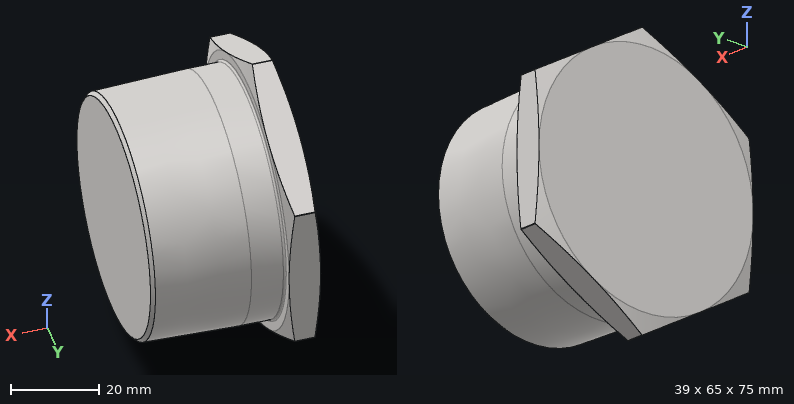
import cadquery as cq
import math

across_flats = 65.0
corner_diameter = 74.95
head_length = 7.5
head_chamfer_angle = 15.0

collar_diameter = 59.6
collar_end = 15.6
root_fillet = 0.5
overall_length = 39.05
end_chamfer = 0.9
taper_ratio = 1 / 16


def make_head():
    """Hexagon with its corners turned down and both faces chamfered by cones."""
    hexagon = (
        cq.Workplane("YZ")
        .polygon(6, across_flats, circumscribed=True)
        .extrude(head_length)
    )
    face_radius = across_flats / 2
    corner_radius = corner_diameter / 2
    chamfer_depth = (corner_radius - face_radius) * math.tan(math.radians(head_chamfer_angle))
    envelope = (
        cq.Workplane("XY")
        .polyline([
            (0, 0),
            (0, face_radius),
            (chamfer_depth, corner_radius),
            (head_length - chamfer_depth, corner_radius),
            (head_length, face_radius),
            (head_length, 0),
        ])
        .close()
        .revolve(360, (0, 0, 0), (1, 0, 0))
    )
    return hexagon.intersect(envelope)


def make_plug():
    """Collar with a root fillet against the head, then a tapered length with a chamfered end."""
    collar_radius = collar_diameter / 2
    taper_end = overall_length - end_chamfer
    taper_end_radius = collar_radius - (taper_end - collar_end) * taper_ratio / 2
    fillet_centre_x = head_length + root_fillet
    fillet_centre_r = collar_radius + root_fillet
    fillet_offset = root_fillet * math.sqrt(0.5)
    return (
        cq.Workplane("XY")
        .moveTo(0, 0)
        .lineTo(0, fillet_centre_r)
        .lineTo(head_length, fillet_centre_r)
        .threePointArc(
            (fillet_centre_x - fillet_offset, fillet_centre_r - fillet_offset),
            (fillet_centre_x, collar_radius),
        )
        .lineTo(collar_end, collar_radius)
        .lineTo(taper_end, taper_end_radius)
        .lineTo(overall_length, taper_end_radius - end_chamfer)
        .lineTo(overall_length, 0)
        .close()
        .revolve(360, (0, 0, 0), (1, 0, 0))
    )


result = make_head().union(make_plug())